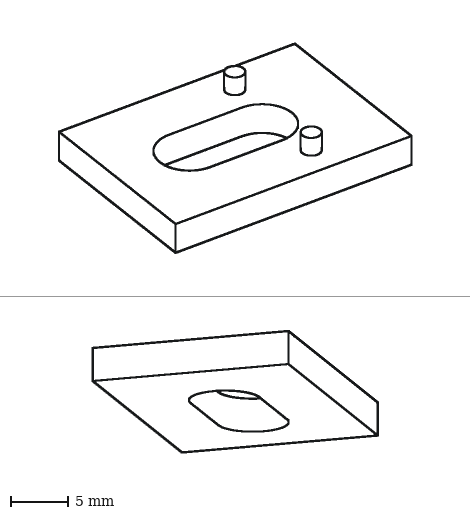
import cadquery as cq

plate_width = 18.0
plate_length = 25.0
plate_thickness = 3.0

slot_width = 6.3
slot_length = 14.0
slot_center_y = -1.0

pin_diameter = 1.85
pin_height = 1.85
pin_spacing = 11.8
pin_center_y = 4.0

plate = cq.Workplane("XY").box(
    plate_width, plate_length, plate_thickness, centered=(True, True, False)
)

slot = (
    cq.Workplane("XY")
    .center(0, slot_center_y)
    .slot2D(slot_length, slot_width, angle=90)
    .extrude(plate_thickness)
)

pins = (
    cq.Workplane("XY", origin=(0, 0, plate_thickness))
    .pushPoints([(side * pin_spacing / 2, pin_center_y) for side in (-1, 1)])
    .circle(pin_diameter / 2)
    .extrude(pin_height)
)

result = plate.cut(slot).union(pins)